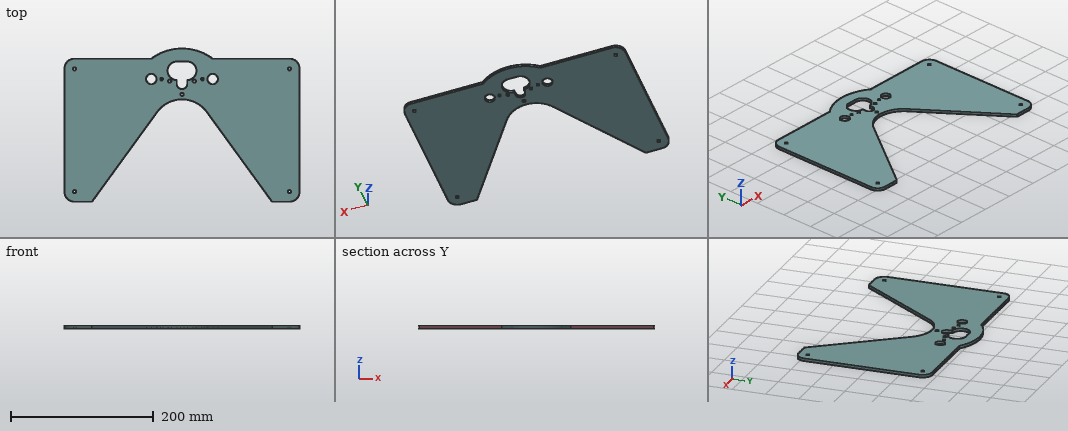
import cadquery as cq
import math

plate_width = 330.03
plate_depth = 200.89
thickness = 4.3
corner_radius = 14.35
top_y = plate_depth / 2
bottom_y = -plate_depth / 2

crown_height = 14.35
crown_half_chord = 43.05
crown_root_depth = 10.0

notch_apex_y = top_y - 57.4
notch_half_mouth = 126.2
notch_radius = 43.05

window_width = 40.2
window_height = 25.8
window_y = top_y - 17.2
leg_width = 14.35
leg_bottom_y = top_y - 42.7

corner_hole_x = plate_width / 2 - corner_radius
corner_hole_y = plate_depth / 2 - corner_radius
screw_hole_diameter = 4.3
screw_hole_x = 17.2
screw_hole_y = top_y - 31.6
centre_hole_y = top_y - 50.2
large_hole_diameter = 14.35
large_hole_x = 43.05
pin_hole_diameter = 3.6
pin_hole_x = 28.7
hole_row_y = top_y - 28.7


def make_plate():
    """Rectangular plate with rounded corners."""
    plate = cq.Workplane("XY").rect(plate_width, plate_depth).extrude(thickness)
    return plate.edges("|Z").fillet(corner_radius)


def make_crown():
    """Circular segment on the top edge, with a root overlapping the plate."""
    return (
        cq.Workplane("XY")
        .moveTo(-crown_half_chord, top_y)
        .threePointArc((0, top_y + crown_height), (crown_half_chord, top_y))
        .lineTo(crown_half_chord, top_y - crown_root_depth)
        .lineTo(-crown_half_chord, top_y - crown_root_depth)
        .close()
        .extrude(thickness)
    )


def make_notch():
    """V-shaped cutter whose flanks run tangent from the mouth into the apex arc."""
    arc_centre_y = notch_apex_y - notch_radius
    mouth_drop = arc_centre_y - bottom_y
    mouth_distance = math.hypot(notch_half_mouth, mouth_drop)
    mouth_angle = math.atan2(-mouth_drop, notch_half_mouth)
    tangent_angle = mouth_angle + math.acos(notch_radius / mouth_distance)
    tangent_x = notch_radius * math.cos(tangent_angle)
    tangent_y = arc_centre_y + notch_radius * math.sin(tangent_angle)
    return (
        cq.Workplane("XY")
        .moveTo(-notch_half_mouth, bottom_y)
        .lineTo(-tangent_x, tangent_y)
        .threePointArc((0, notch_apex_y), (tangent_x, tangent_y))
        .lineTo(notch_half_mouth, bottom_y)
        .close()
        .extrude(thickness)
    )


def make_window():
    """Keyhole cutter: a horizontal slot joined to a round-ended leg below it."""
    slot = cq.Workplane("XY").center(0, window_y).slot2D(window_width, window_height).extrude(thickness)
    leg_end_y = leg_bottom_y + leg_width / 2
    leg = (
        cq.Workplane("XY")
        .moveTo(-leg_width / 2, window_y)
        .lineTo(-leg_width / 2, leg_end_y)
        .threePointArc((0, leg_bottom_y), (leg_width / 2, leg_end_y))
        .lineTo(leg_width / 2, window_y)
        .close()
        .extrude(thickness)
    )
    return slot.union(leg)


def make_holes(points, diameter):
    """Cylindrical through-hole cutters at the given points."""
    return cq.Workplane("XY").pushPoints(points).circle(diameter / 2).extrude(thickness)


def mirrored_pair(x, y):
    """Two points placed symmetrically about the Y axis."""
    return [(-x, y), (x, y)]


corner_points = mirrored_pair(corner_hole_x, corner_hole_y) + mirrored_pair(corner_hole_x, -corner_hole_y)
hub_screw_points = mirrored_pair(screw_hole_x, screw_hole_y) + [(0, centre_hole_y)]

hole_groups = [
    (corner_points + hub_screw_points, screw_hole_diameter),
    (mirrored_pair(large_hole_x, hole_row_y), large_hole_diameter),
    (mirrored_pair(pin_hole_x, hole_row_y), pin_hole_diameter),
]

result = make_plate().union(make_crown()).cut(make_notch()).cut(make_window())
for hole_points, hole_diameter in hole_groups:
    result = result.cut(make_holes(hole_points, hole_diameter))